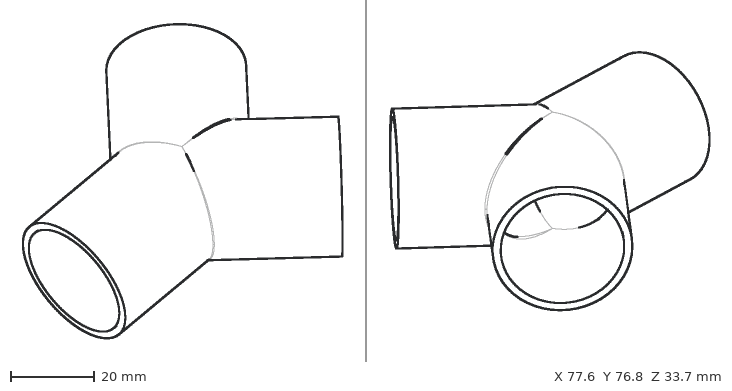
import cadquery as cq

outer_diameter = 33.7
bore_diameter = 29.7
leg_length = 38.0

outlet_angle = 45
leg_angles = (-90, outlet_angle, 180 - outlet_angle)

seam_fillet_radius = 0.5
crotch_fillet_radius = 2.5


def three_legs(diameter):
    """Solid Y of three equal cylinders running out from the common centre."""
    leg = cq.Workplane("YZ").circle(diameter / 2).extrude(leg_length)
    legs = cq.Workplane("XY")
    for angle in leg_angles:
        legs = legs.union(leg.rotate((0, 0, 0), (0, 0, 1), angle))
    return legs


body = three_legs(outer_diameter).edges("%ELLIPSE").fillet(seam_fillet_radius)

bores = three_legs(bore_diameter).edges("%ELLIPSE").edges(">Y").fillet(crotch_fillet_radius)

result = body.cut(bores)